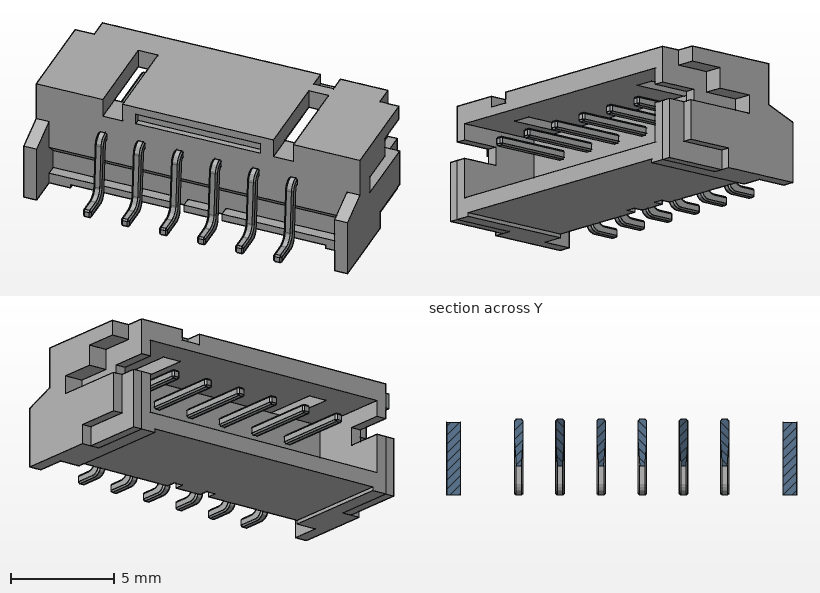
import cadquery as cq
import math


housing_width = 17
housing_depth = 6.0
housing_height = 5.7
top_wall = 0.99
bottom_wall = 0.99
side_wall = 1.55
rear_wall = 1.48

side_recess = 1.0
corner_notch_depth = 1.04
corner_step_z = 4.93
step_back_y = 3.16
slot_bottom_z = 2.98
slot_top_z = 3.9
slot_back_y = 1.25
window_back_y = 3.98

tab_inset = 0.51
tab_arm_depth = 0.94
tab_foot_depth = 3.4
tab_foot_height = 0.99

wing_thickness = 0.68
wing_length = 1.58
wing_root_z = 3.64
wing_tip_z = 3.03

undercut_top_z = 2.1
undercut_depth = 0.53
sill_height = 0.58
sill_notch_width = 0.51
foot_width = 1.8
foot_height = 0.19

top_slot_width = 1.04
top_slot_end_y = 4.5
notch_depth = 0.55
notch_length = 0.88
pocket_width = 6.55
pocket_height = 0.56
pocket_drop = 0.4
pocket_depth = 0.3

contact_count = 6
contact_row_length = 10.0
contact_pitch = contact_row_length / (contact_count - 1)
contact_width = 0.42
contact_thickness = 0.45
contact_chamfer = 0.08
contact_top_z = 3.75
contact_mating_setback = 0.46
contact_tail_y = -2.05
leg_top_y = -0.51
leg_bottom_y = -0.75
bend_radius = 0.53
upper_inside_radius = bend_radius - contact_thickness

half_width = housing_width / 2
contact_row = [(i - (contact_count - 1) / 2) * contact_pitch for i in range(contact_count)]
first_contact_x = contact_row[0]
last_contact_x = contact_row[-1]
middle_contacts = contact_row[contact_count // 2 - 1:contact_count // 2 + 1]


def block(x_range, y_range, z_range):
    """Box between two limits on each axis."""
    size = [high - low for low, high in (x_range, y_range, z_range)]
    corner = (x_range[0], y_range[0], z_range[0])
    return cq.Workplane("XY").box(*size, centered=False).translate(corner)


def side_profile(points, x_start, thickness):
    """Prism with an outline of (Y, Z) points that runs in +X from x_start."""
    return cq.Workplane("YZ", origin=(x_start, 0, 0)).polyline(points).close().extrude(thickness)


def with_mirror(body):
    """The body together with its mirror image on the other end of the connector."""
    return body.union(body.mirror("YZ"))


def make_shell():
    shell = block((-half_width, half_width), (0, housing_depth), (0, housing_height))
    cavity = block(
        (side_wall - half_width, half_width - side_wall),
        (rear_wall, housing_depth),
        (bottom_wall, housing_height - top_wall),
    )
    return shell.cut(cavity)


def make_wings():
    outline = [(0, 0), (-wing_length, 0), (-wing_length, wing_tip_z), (0, wing_root_z)]
    return with_mirror(side_profile(outline, -half_width, wing_thickness))


def make_side_recesses():
    """Corner notch, stepped slot and tab seat in one outline, plus the window into the cavity."""
    notch_y = housing_depth - corner_notch_depth
    arm_y = housing_depth - tab_arm_depth
    foot_y = housing_depth - tab_foot_depth
    outline = [
        (housing_depth, housing_height),
        (notch_y, housing_height),
        (notch_y, corner_step_z),
        (step_back_y, corner_step_z),
        (step_back_y, slot_top_z),
        (slot_back_y, slot_top_z),
        (slot_back_y, slot_bottom_z),
        (arm_y, slot_bottom_z),
        (arm_y, tab_foot_height),
        (foot_y, tab_foot_height),
        (foot_y, 0),
        (housing_depth, 0),
    ]
    recess = side_profile(outline, -half_width, side_recess)
    window = block(
        (-half_width, side_wall - half_width),
        (window_back_y, housing_depth),
        (slot_bottom_z, slot_top_z),
    )
    return with_mirror(recess.union(window))


def make_rear_undercut():
    """Sloped recess between the wings that leaves a sill along the bottom."""
    outline = [
        (0, undercut_top_z),
        (undercut_depth, undercut_top_z - undercut_depth),
        (undercut_depth, sill_height),
        (0, sill_height),
    ]
    inner_width = housing_width - 2 * wing_thickness
    return side_profile(outline, -inner_width / 2, inner_width)


def make_sill_notch(x):
    half_notch = sill_notch_width / 2
    return block((x - half_notch, x + half_notch), (0, undercut_depth), (0, sill_height))


def make_foot_gap():
    """Clearance under the housing between its two feet."""
    half_gap = half_width - foot_width
    return block((-half_gap, half_gap), (0, housing_depth), (0, foot_height))


def make_top_slots():
    """Two slots, open at the rear, that reach down into the cavity."""
    slot = block(
        (first_contact_x, first_contact_x + top_slot_width),
        (0, top_slot_end_y),
        (housing_height - top_wall, housing_height),
    )
    return with_mirror(slot)


def make_polarity_notch():
    return block(
        (last_contact_x - top_slot_width, last_contact_x),
        (housing_depth - notch_length, housing_depth),
        (housing_height - notch_depth, housing_height),
    )


def make_rear_pocket():
    pocket_top = housing_height - pocket_drop
    return block(
        (-pocket_width / 2, pocket_width / 2),
        (0, pocket_depth),
        (pocket_top - pocket_height, pocket_top),
    )


def make_contact(x):
    """Near-square wire: mating end in the cavity, leaning leg behind the wall, tail on the board."""
    mating_y = housing_depth - contact_mating_setback
    under_z = contact_top_z - contact_thickness
    lean = math.atan((leg_top_y - leg_bottom_y) / (contact_top_z - contact_thickness))
    mitre = contact_thickness * math.tan((math.pi / 2 - lean) / 2)

    top_outer = (leg_top_y, contact_top_z)
    top_inner = (leg_top_y + mitre, under_z)
    tail_inner = (leg_bottom_y, contact_thickness)
    tail_outer = (leg_bottom_y + mitre, 0)
    outline = [
        (mating_y, contact_top_z),
        top_outer,
        tail_inner,
        (contact_tail_y, contact_thickness),
        (contact_tail_y, 0),
        tail_outer,
        top_inner,
        (mating_y, under_z),
    ]
    wire = side_profile(outline, x - contact_width / 2, contact_width)

    bends = [
        (top_outer, bend_radius),
        (top_inner, upper_inside_radius),
        (tail_inner, bend_radius),
        (tail_outer, bend_radius),
    ]
    for (y, z), radius in bends:
        wire = wire.edges(cq.NearestToPointSelector((x, y, z))).fillet(radius)
    return wire.faces("<X or >X or <Y or >Y").edges().chamfer(contact_chamfer)


def make_tab():
    """L-shaped plate at the -X end: an upright arm at the mating end and a foot on the board."""
    arm_y = housing_depth - tab_arm_depth
    foot_y = housing_depth - tab_foot_depth
    outline = [
        (housing_depth, 0),
        (housing_depth, slot_bottom_z),
        (arm_y, slot_bottom_z),
        (arm_y, tab_foot_height),
        (foot_y, tab_foot_height),
        (foot_y, 0),
    ]
    return side_profile(outline, tab_inset - half_width, side_recess - tab_inset)


def make_housing(contacts):
    housing = make_shell().union(make_wings())
    cutters = [
        make_side_recesses(),
        make_rear_undercut(),
        make_foot_gap(),
        make_top_slots(),
        make_polarity_notch(),
        make_rear_pocket(),
    ]
    cutters += [make_sill_notch(x) for x in middle_contacts]
    for cutter in cutters + contacts:
        housing = housing.cut(cutter)
    return housing


contacts = [make_contact(x) for x in contact_row]
left_tab = make_tab()
tabs = [left_tab, left_tab.mirror("YZ")]
housing = make_housing(contacts)

result = cq.Compound.makeCompound([body.val() for body in [housing] + contacts + tabs])